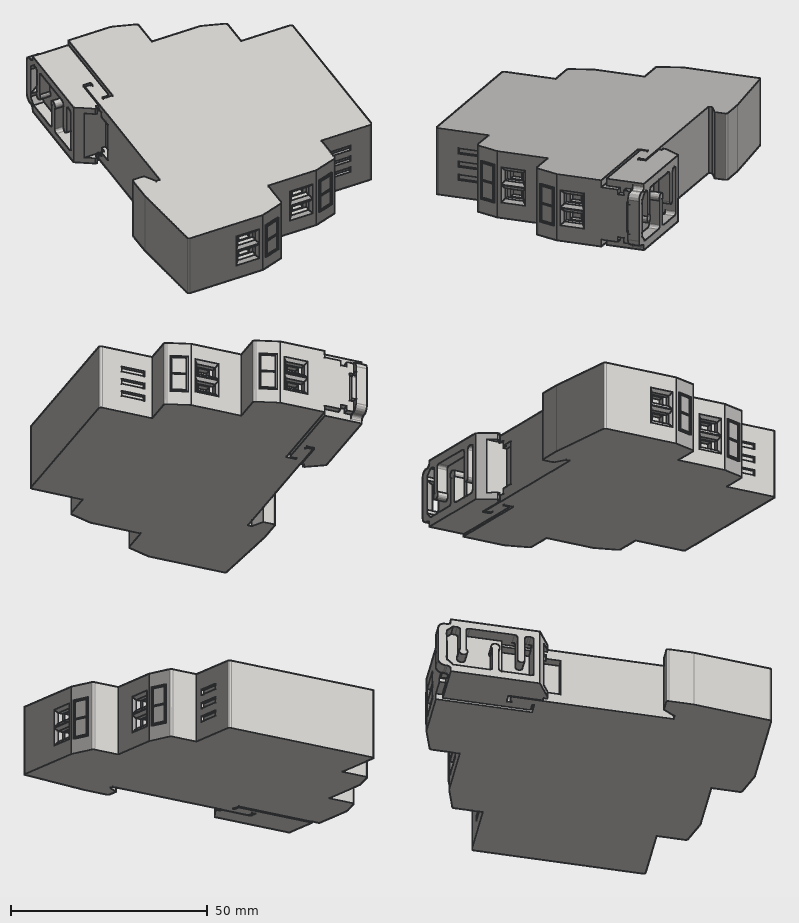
import cadquery as cq
import math


length = 86.8
height = 64.6
thickness = 18.0
half_z = thickness / 2

body_left = 1.65
body_right = length
mid_x = (body_left + body_right) / 2
low_tier_top = 29.8
mid_tier_left = 11.6
mid_tier_top = 50.1
top_tier_left = 21.7

slope_height = 6.5
slope_run = 2.2
slope_radius = 0.8
front_edge_radius = 0.7

rail_y = 6.3
latch_end_x = 26.4
latch_tip_x = 29.3
latch_tip_low = 4.7
latch_tip_top = 5.3
latch_neck_x = 28.4
foot_left = 59.2
foot_bevel_x = 62.3
foot_bevel_low = 3.4
foot_bevel_top = latch_tip_top
foot_flat_end = 66.2
foot_right_y = 2.0
foot_radius = 0.5

gap_depth = 1.9
latch_left = 3.3
gap_top = 11.0
latch_top = 10.2
gap_right = 26.6
latch_arm_end = 26.0
tongue_top = 8.3
tongue_gap_left = 19.4
tongue_end = 20.2
tongue_bevel = 0.5
under_tongue_gap = 0.3
lug_notch_depth = 3.2
lug_notch_low = 4.9
lug_notch_top = 6.5
gap_corner_radius = 0.4

handle_height = 3.0
handle_half_z = 7.2
handle_outer_radius = 1.8
handle_inner_radius = 1.0

pocket_left = 2.3
pocket_right = 24.8
pocket_half_z = 6.6
pocket_depth = 2.95
pocket_bevel = 1.65
pocket_radius = 0.9
finger_reach = 2.6
bulb_diameter = 2.3
fingers = (
    (5.7, 7.3, 1, True),
    (14.1, 15.7, -1, True),
    (20.6, 22.5, 1, False),
)
window_left = 17.1
window_ledge_y = 4.2
window_half_z = 5.8
driver_slot_half_z = 4.0
driver_slot_top = 4.1
driver_slot_right = 2.95

recess_left = 27.9
recess_right = 33.1
recess_depth = 2.0
tip_notch_half_z = 7.2
tip_notch_depth = 0.9

terminal_length = 6.6
terminal_width = 4.7
terminal_pitch = 4.9
terminal_mouth_length = 5.0
terminal_mouth_width = 2.8
terminal_slot_length = 3.0
terminal_slot_width = 2.3
funnel_depth = 0.7
mouth_depth = 1.4
slot_depth = 1.7
terminal_drop = 7.55

label_start = 1.4
label_height = 4.3
label_half_z = 5.1
label_thickness = 0.3
label_rim = 0.4
label_bar = 0.3
label_sink = 0.2

vent_length = 6.3
vent_width = 1.5
vent_pitch = 3.6
vent_depth = 0.9
vent_y = 55.3


def box(x0, x1, y0, y1, z0, z1):
    return cq.Workplane("XY").box(x1 - x0, y1 - y0, z1 - z0, centered=False).translate((x0, y0, z0))


def prism(points, z0, z1):
    return cq.Workplane("XY").workplane(offset=z0).polyline(points).close().extrude(z1 - z0)


def mirror_x(points):
    return [(2 * mid_x - x, y) for x, y in reversed(points)]


def round_at(solid, points, radius):
    """Round the Z-parallel edges that pass through the given XY points."""
    reach = 0.1
    for x, y in points:
        edge = cq.selectors.BoxSelector((x - reach, y - reach, -half_z), (x + reach, y + reach, half_z))
        solid = solid.edges("|Z").edges(edge).fillet(radius)
    return solid


def housing():
    low_corner = (body_left + slope_run, low_tier_top)
    mid_corner = (mid_tier_left + slope_run, mid_tier_top)
    top_corner = (top_tier_left, height)
    left_steps = [
        (body_left, low_tier_top - slope_height),
        low_corner,
        (mid_tier_left, low_tier_top),
        (mid_tier_left, mid_tier_top - slope_height),
        mid_corner,
        (top_tier_left, mid_tier_top),
        top_corner,
    ]
    rail_side = [
        (body_right, foot_right_y),
        (foot_flat_end, 0),
        (foot_left, 0),
        (foot_left, foot_bevel_low),
        (foot_bevel_x, foot_bevel_top),
        (foot_bevel_x, rail_y),
        (latch_neck_x, rail_y),
        (latch_neck_x, latch_tip_top),
        (latch_tip_x, latch_tip_top),
        (latch_tip_x, latch_tip_low),
        (latch_end_x, 0),
        (body_left, 0),
    ]
    solid = prism(left_steps + mirror_x(left_steps) + rail_side, -half_z, half_z)
    slope_corners = [low_corner, mid_corner]
    solid = round_at(solid, slope_corners + mirror_x(slope_corners), slope_radius)
    solid = round_at(solid, [top_corner] + mirror_x([top_corner]), front_edge_radius)
    return round_at(solid, [(foot_left, 0), (body_right, foot_right_y)], foot_radius)


def latch_gap():
    """Gap around the latch, on the upper side of the module."""
    outline = [
        (0, 0),
        (latch_left, 0),
        (latch_left, latch_top),
        (latch_arm_end, latch_top),
        (latch_arm_end, tongue_top),
        (gap_right, tongue_top),
        (gap_right, gap_top),
        (0, gap_top),
    ]
    tongue_gap = [
        (tongue_gap_left, tongue_top),
        (tongue_gap_left, rail_y - under_tongue_gap),
        (latch_neck_x, rail_y - under_tongue_gap),
        (latch_neck_x, rail_y),
        (tongue_end, rail_y),
        (tongue_end, tongue_top - tongue_bevel),
        (tongue_end + tongue_bevel, tongue_top),
    ]
    floor_z = half_z - gap_depth
    lug_notch = box(0, latch_left, lug_notch_low, lug_notch_top, half_z - lug_notch_depth, half_z)
    upper = round_at(prism(outline, floor_z, half_z), [(latch_arm_end, latch_top)], gap_corner_radius)
    lower = prism(tongue_gap, floor_z, half_z)
    lower = round_at(lower, [(tongue_gap_left, rail_y - under_tongue_gap)], gap_corner_radius)
    return upper.union(lower).union(lug_notch)


def handle():
    """Pull tab with convex outer corners blending into the latch by concave arcs."""
    diagonal = math.sqrt(0.5)
    r = handle_outer_radius
    c = handle_inner_radius
    inner_x = latch_left - c
    inner_z = handle_half_z + c
    half = (
        cq.Workplane("XZ")
        .lineTo(0, handle_half_z - r)
        .threePointArc((r - r * diagonal, handle_half_z - r + r * diagonal), (r, handle_half_z))
        .lineTo(inner_x, handle_half_z)
        .threePointArc((inner_x + c * diagonal, inner_z - c * diagonal), (latch_left, inner_z))
        .lineTo(latch_left, 0)
        .close()
        .extrude(-handle_height)
    )
    return half.union(half.mirror("XY"))


def finger(left, right, side, has_bulb):
    """Spring finger growing from the pocket wall on the given Z side."""
    middle = (left + right) / 2
    tip_diameter = bulb_diameter if has_bulb else right - left
    tip_z = -side * (finger_reach - tip_diameter / 2)
    root_z = side * pocket_half_z
    low_z, high_z = min(tip_z, root_z), max(tip_z, root_z)
    tip = cq.Workplane("XZ").center(middle, tip_z).circle(tip_diameter / 2).extrude(-pocket_depth)
    return box(left, right, 0, pocket_depth, low_z, high_z).union(tip)


def latch_pocket():
    tray = box(pocket_left, pocket_right, 0, pocket_depth, -pocket_half_z, pocket_half_z)
    tray = tray.edges("|Y and <X").chamfer(pocket_bevel)
    tray = tray.edges("|Y and >X").fillet(pocket_radius)
    for left, right, side, has_bulb in fingers:
        tray = tray.cut(finger(left, right, side, has_bulb))
        for x in (left, right):
            root = (x, pocket_depth / 2, side * pocket_half_z)
            tray = tray.edges("|Y").edges(cq.selectors.NearestToPointSelector(root)).fillet(pocket_radius)
    ledge = box(window_left, pocket_right, pocket_depth, window_ledge_y, -pocket_half_z, pocket_half_z)
    window = box(window_left, pocket_right, window_ledge_y, rail_y, -window_half_z, window_half_z)
    return tray.union(ledge).union(window)


def driver_slot():
    """Screwdriver slot through the end wall above the handle, with a sloping inner face."""
    outline = [
        (0, handle_height),
        (pocket_left, 0),
        (driver_slot_right, 0),
        (driver_slot_right, pocket_depth),
        (pocket_left, driver_slot_top),
        (0, driver_slot_top),
    ]
    return prism(outline, -driver_slot_half_z, driver_slot_half_z)


def rail_recess():
    notch_floor = rail_y + tip_notch_depth
    recess_floor = rail_y + recess_depth
    notch = box(recess_left, latch_tip_x, 0, notch_floor, -tip_notch_half_z, tip_notch_half_z)
    recess = box(recess_left, recess_right, rail_y, recess_floor, -window_half_z, window_half_z)
    return notch.union(recess)


def label(slope_x, tier_top):
    """Raised label plate on a tier's slope, with two sunken fields."""
    slope_length = math.hypot(slope_run, slope_height)
    along = (slope_run / slope_length, slope_height / slope_length)

    def strip(y0, y1, inner, outer, z0, z1):
        points = []
        for y, out in ((y0, inner), (y0, outer), (y1, outer), (y1, inner)):
            x = slope_x + (y - tier_top + slope_height) * slope_run / slope_height
            points.append((x - out * along[1], y + out * along[0]))
        return prism(points, z0, z1)

    high = tier_top - label_start
    low = high - label_height
    plate = strip(low, high, -label_thickness, label_thickness, -label_half_z, label_half_z)
    field_floor = label_thickness - label_sink
    field = strip(
        low + label_rim, high - label_rim, field_floor, 2 * label_thickness,
        label_bar / 2, label_half_z - label_rim,
    )
    return plate.cut(field).cut(field.mirror("XY"))


def terminal(face_x, y, z):
    """Tapered wire entry with a stepped slot behind it, cut inwards from an end face."""
    mouth_x = face_x + funnel_depth
    step_x = mouth_x + mouth_depth
    funnel = (
        cq.Workplane("YZ", origin=(face_x, y, z))
        .rect(terminal_length, terminal_width)
        .workplane(offset=funnel_depth)
        .rect(terminal_mouth_length, terminal_mouth_width)
        .loft(ruled=True)
    )
    mouth = (
        cq.Workplane("YZ", origin=(mouth_x, y, z))
        .rect(terminal_mouth_length, terminal_mouth_width)
        .extrude(mouth_depth)
    )
    slot = (
        cq.Workplane("YZ", origin=(step_x, y, z))
        .rect(terminal_slot_length, terminal_slot_width)
        .extrude(slot_depth)
    )
    return funnel.union(mouth).union(slot)


def with_mirror(solid):
    return solid.union(solid.mirror("YZ", (mid_x, 0, 0)))


result = housing()
upper_gap = latch_gap()
result = result.cut(upper_gap).cut(upper_gap.mirror("XY"))
result = result.union(handle())
result = result.cut(latch_pocket()).cut(driver_slot()).cut(rail_recess())

for tier_left, tier_top in ((body_left, low_tier_top), (mid_tier_left, mid_tier_top)):
    result = result.union(with_mirror(label(tier_left, tier_top)))
    terminal_y = tier_top - terminal_drop - terminal_length / 2
    for row_z in (-terminal_pitch / 2, terminal_pitch / 2):
        result = result.cut(with_mirror(terminal(tier_left, terminal_y, row_z)))

for row in (-1, 0, 1):
    vent_z = row * vent_pitch
    vent = box(
        top_tier_left, top_tier_left + vent_depth,
        vent_y - vent_length / 2, vent_y + vent_length / 2,
        vent_z - vent_width / 2, vent_z + vent_width / 2,
    )
    result = result.cut(with_mirror(vent))